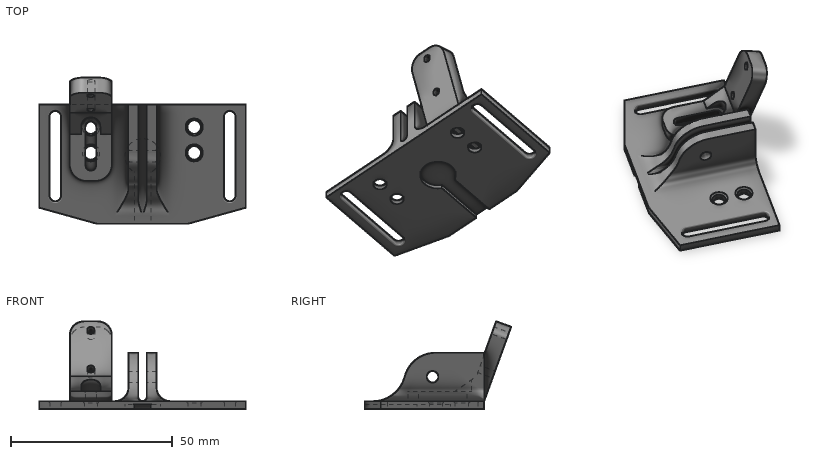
import cadquery as cq
import math


plate_width = 64.0
plate_depth = 37.0
plate_thickness = 2.5
side_edge_length = 32.0
front_edge_width = 28.0

strap_slot_x = 27.0
strap_slot_width = 3.5
strap_slot_length = 27.9
strap_slot_fillet = 0.6
strap_slot_y = -side_edge_length / 2

screw_hole_x = 16.0
screw_hole_diameter = 4.14
screw_hole_chamfer = 0.6
screw_hole_ys = (-7.0, -15.0)

recess_diameter = 11.0
recess_y = -side_edge_length / 2
recess_depth = 1.5
channel_width = 5.25

lug_gap = 2.6
lug_thickness = 3.1
lug_side_fillet = 4.1
lug_height = 15.0
lug_flat_length = 15.0
lug_nose_radius = 10.0
lug_hole_diameter = 3.5
lug_hole_y = -16.0
lug_hole_height = lug_height / 2

bracket_x = -screw_hole_x
bracket_width = 13.0
foot_length = 23.65
foot_thickness = 3.0
foot_corner_radius = 5.0
tab_lean = math.radians(20.0)
tab_thickness = 5.0
tab_back_height = 23.0
tab_length = tab_back_height / math.cos(tab_lean)
tab_corner_radius = 4.5
brace_leg = 5.0

foot_slot_width = 3.3
foot_slot_back_y = -7.0
foot_slot_front_y = -18.85
head_clearance_diameter = 6.0

tab_hole_diameter = 2.3
tab_hole_drops = (3.0, 15.7)


def make_plate():
    half_width = plate_width / 2
    half_front = front_edge_width / 2
    outline = [
        (-half_width, 0),
        (-half_width, -side_edge_length),
        (-half_front, -plate_depth),
        (half_front, -plate_depth),
        (half_width, -side_edge_length),
        (half_width, 0),
    ]
    return cq.Workplane("XY").polyline(outline).close().extrude(plate_thickness)


def strap_slot(x):
    return (
        cq.Workplane("XY").center(x, strap_slot_y)
        .slot2D(strap_slot_length, strap_slot_width, 90).extrude(plate_thickness)
    )


def screw_hole(x, y):
    """Hole cutter with a countersink at the plate's top face."""
    radius = screw_hole_diameter / 2
    chamfer_start = plate_thickness - screw_hole_chamfer
    profile = [
        (0, 0),
        (radius, 0),
        (radius, chamfer_start),
        (radius + screw_hole_chamfer, plate_thickness),
        (0, plate_thickness),
    ]
    return (
        cq.Workplane("XZ").polyline(profile).close()
        .revolve(360, (0, 0), (0, 1)).translate((x, y, 0))
    )


def underside_recess():
    channel_length = plate_depth + recess_y
    channel = (
        cq.Workplane("XY").center(0, recess_y - channel_length / 2)
        .rect(channel_width, channel_length).extrude(recess_depth)
    )
    pocket = cq.Workplane("XY").center(0, recess_y).circle(recess_diameter / 2).extrude(recess_depth)
    return pocket.union(channel)


def lug_side_shape():
    """Side outline of the lugs: two equal arcs sweep from the flat top down to the plate."""
    base = plate_thickness
    top = base + lug_height
    nose_centre_height = lug_height - lug_nose_radius
    rise = lug_nose_radius - nose_centre_height
    run = math.sqrt((2 * lug_nose_radius) ** 2 - rise**2)
    meeting_y = -lug_flat_length - run / 2
    meeting_z = base + lug_height / 2
    half_turn = (math.radians(90) + math.atan2(rise, run)) / 2
    nose_mid_y = -lug_flat_length - lug_nose_radius * math.cos(half_turn)
    nose_mid_z = base + nose_centre_height + lug_nose_radius * math.sin(half_turn)
    toe_y = -lug_flat_length - run
    toe_mid = (2 * meeting_y - nose_mid_y, 2 * meeting_z - nose_mid_z)
    return (
        cq.Workplane("YZ")
        .moveTo(0, base)
        .lineTo(0, top)
        .lineTo(-lug_flat_length, top)
        .threePointArc((nose_mid_y, nose_mid_z), (meeting_y, meeting_z))
        .threePointArc(toe_mid, (toe_y, base))
        .close()
        .extrude(plate_width / 2, both=True)
    )


def lug_front_shape(side):
    """Front outline of one lug: a concave flare outside and a smaller one in the gap."""
    inner = lug_gap / 2
    outer = inner + lug_thickness
    base = plate_thickness
    top = base + lug_height
    diagonal = 1 - math.sqrt(0.5)
    outer_mid = (outer + lug_side_fillet * diagonal, base + lug_side_fillet * diagonal)
    inner_mid = (inner - inner * diagonal, base + inner * diagonal)

    def at(x, z):
        return (side * x, z)

    return (
        cq.Workplane("XZ")
        .moveTo(*at(0, base))
        .lineTo(*at(outer + lug_side_fillet, base))
        .threePointArc(at(*outer_mid), at(outer, base + lug_side_fillet))
        .lineTo(*at(outer, top))
        .lineTo(*at(inner, top))
        .lineTo(*at(inner, base + inner))
        .threePointArc(at(*inner_mid), at(0, base))
        .close()
        .extrude(plate_depth)
    )


def lug_hole():
    return (
        cq.Workplane("YZ").center(lug_hole_y, plate_thickness + lug_hole_height)
        .circle(lug_hole_diameter / 2).extrude(plate_width / 2, both=True)
    )


def make_base():
    base = make_plate()
    for side in (-1, 1):
        base = base.cut(strap_slot(side * strap_slot_x))
    base = base.faces(">Z or <Z").edges("%CIRCLE").fillet(strap_slot_fillet)
    for side in (-1, 1):
        for y in screw_hole_ys:
            base = base.cut(screw_hole(side * screw_hole_x, y))
    base = base.cut(underside_recess())
    for side in (-1, 1):
        lug = lug_side_shape().intersect(lug_front_shape(side)).cut(lug_hole())
        base = base.union(lug, clean=False)
    return base


def make_bracket_blank():
    """Foot and leaning tab from one side outline, with the brace in their corner."""
    tab_top_y = tab_back_height * math.tan(tab_lean)
    front_top_y = tab_top_y - tab_thickness * math.cos(tab_lean)
    front_top_z = tab_back_height + tab_thickness * math.sin(tab_lean)
    corner_y = foot_thickness * math.tan(tab_lean) - tab_thickness / math.cos(tab_lean)
    brace_top = (
        corner_y + brace_leg * math.sin(tab_lean),
        foot_thickness + brace_leg * math.cos(tab_lean),
    )
    outline = [
        (0, 0),
        (tab_top_y, tab_back_height),
        (front_top_y, front_top_z),
        brace_top,
        (corner_y - brace_leg, foot_thickness),
        (-foot_length, foot_thickness),
        (-foot_length, 0),
    ]
    blank = cq.Workplane("YZ").polyline(outline).close().extrude(bracket_width / 2, both=True)
    blank = blank.edges("|Z").edges("<Y").fillet(foot_corner_radius)
    across_tab = cq.selectors.ParallelDirSelector(cq.Vector(0, math.cos(tab_lean), -math.sin(tab_lean)))
    return blank.edges(across_tab).fillet(tab_corner_radius)


def foot_slot(width, bottom):
    length = foot_slot_back_y - foot_slot_front_y + width
    middle = (foot_slot_back_y + foot_slot_front_y) / 2
    return (
        cq.Workplane("XY", origin=(0, middle, bottom))
        .slot2D(length, width, 90).extrude(tab_back_height)
    )


def tab_holes():
    """Hole cutters square to the tab, placed along its back face."""
    back_face = cq.Plane(
        origin=(0, 0, 0), xDir=(1, 0, 0), normal=(0, -math.cos(tab_lean), math.sin(tab_lean))
    )
    centres = [(0, tab_length - drop) for drop in tab_hole_drops]
    return (
        cq.Workplane(back_face).pushPoints(centres)
        .circle(tab_hole_diameter / 2).extrude(tab_thickness)
    )


def make_bracket():
    bracket = make_bracket_blank()
    bracket = bracket.cut(foot_slot(foot_slot_width, 0))
    bracket = bracket.cut(foot_slot(head_clearance_diameter, foot_thickness))
    bracket = bracket.cut(tab_holes())
    return bracket.translate((bracket_x, 0, plate_thickness))


base = make_base()
bracket = make_bracket()

result = cq.Compound.makeCompound([base.val(), bracket.val()])